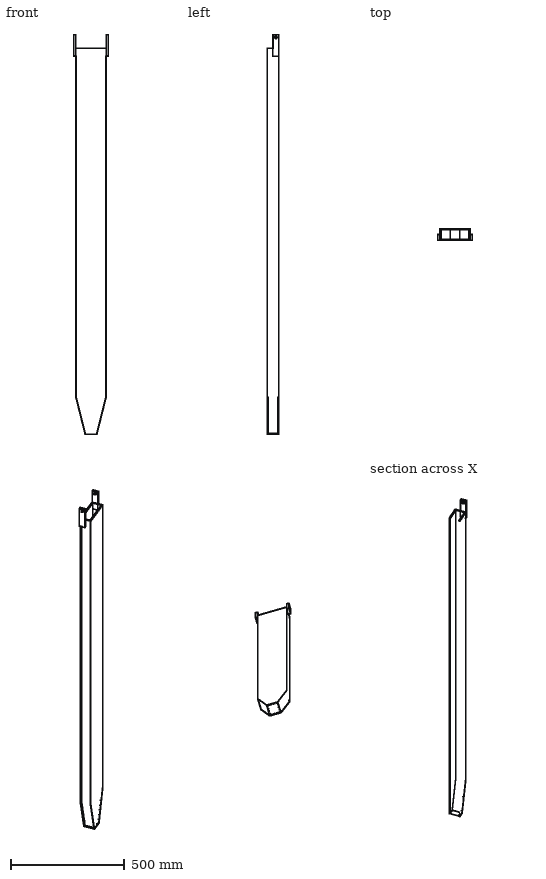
import cadquery as cq

total_height = 1768.0
overall_width = 154.0
lug_thickness = 10.0
tube_width = overall_width - 2 * lug_thickness
tube_depth = 51.0
wall = 5.0

taper_height = 165.0
lug_rise = 60.0
tube_height = total_height - lug_rise
tip_width = 51.0

lug_width = 27.0
lug_length = 95.0
hole_diameter = 9.0
hole_drop = 12.0


def tapered_block(width, depth, tip, bottom, shoulder, top):
    """Straight block, centred on Z, that narrows in X to a flat tip."""
    right_side = [(tip / 2, bottom), (width / 2, shoulder), (width / 2, top)]
    left_side = [(-x, z) for x, z in reversed(right_side)]
    return (
        cq.Workplane("XZ")
        .polyline(right_side + left_side)
        .close()
        .extrude(depth / 2, both=True)
    )


def make_tube():
    """Rectangular tube, open at the top and closed at its tapered tip."""
    outside = tapered_block(tube_width, tube_depth, tip_width, 0, taper_height, tube_height)
    slope = (tube_width - tip_width) / taper_height
    cavity_tip = tip_width - 2 * wall + slope * wall
    cavity = tapered_block(
        tube_width - 2 * wall, tube_depth - 2 * wall, cavity_tip, wall, taper_height, tube_height
    )
    return outside.cut(cavity)


def make_lug(side):
    """Flat lug with a cross hole, on the +X (side = 1) or -X (side = -1) wall."""
    center_x = side * (tube_width + lug_thickness) / 2
    center_y = (lug_width - tube_depth) / 2
    plate = cq.Workplane("XY").box(lug_thickness, lug_width, lug_length).translate(
        (center_x, center_y, total_height - lug_length / 2)
    )
    hole = (
        cq.Workplane("YZ")
        .center(center_y, total_height - hole_drop)
        .circle(hole_diameter / 2)
        .extrude(lug_thickness / 2, both=True)
        .translate((center_x, 0, 0))
    )
    return plate.cut(hole)


tube = make_tube()
lugs = [make_lug(side) for side in (-1, 1)]

result = cq.Compound.makeCompound([tube.val(), *[lug.val() for lug in lugs]])